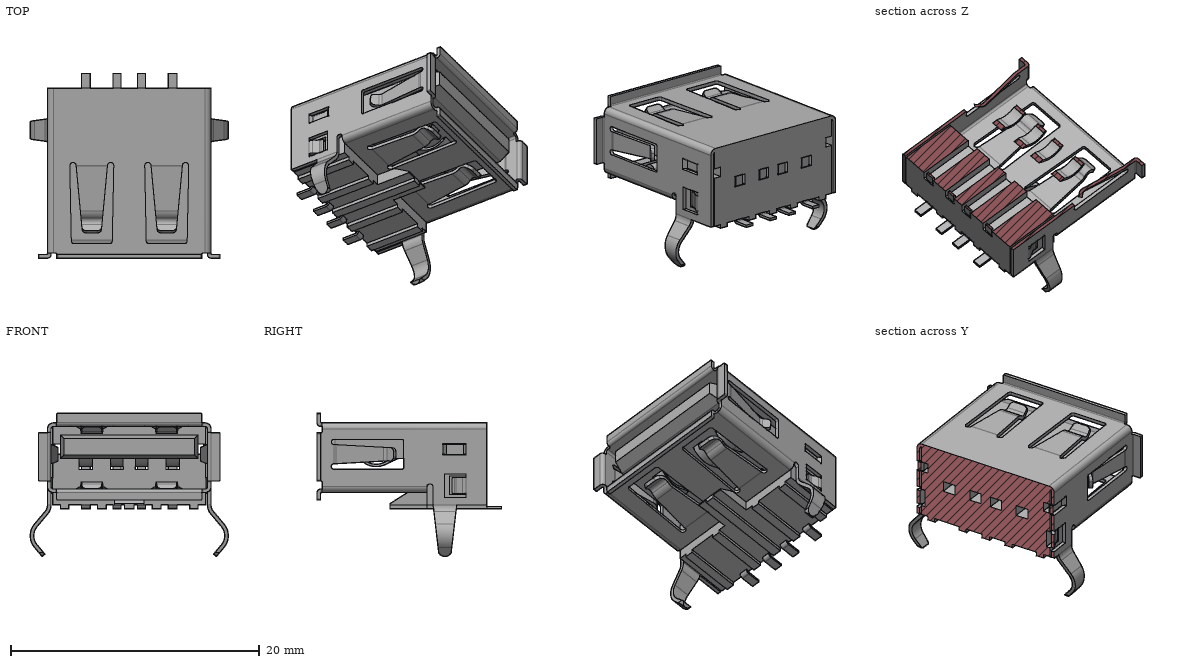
import cadquery as cq
import math


sheet = 0.3
shell_half_width = 6.6
shell_height = 5.64
shell_front = 0.42
shell_rear = 13.71
bend_radius = 0.5
inner_bend_radius = bend_radius - sheet
wall_inner = shell_half_width - sheet
ceiling = shell_height - sheet
mid_height = shell_height / 2

relief_front = 8.88
relief_width = 0.48
relief_top = 0.7
relief_middle = relief_front + relief_width / 2
rear_wall_bottom = -0.99

flange_bend_inside = 0.08
flange_bend_outside = sheet
flange_corner = 0.1
flange_root_fillet = 0.08
top_flange_half_width = 5.85
top_flange_top = 6.4
bottom_flange_bottom = -0.59
side_flange_half_height = 1.95
side_flange_middle = 2.9
side_flange_reach = 7.33

roof_spring_x = 3.02
roof_spring_hinge = 7.46
roof_window_end = 1.18
roof_window_half_width = 1.77
roof_window_end_half_width = 1.65
roof_relief_radius = 0.25
roof_window_corner = 0.2
roof_taper_end = 2.0
roof_taper_end_half_width = 0.75
roof_spring_corner = 0.35
roof_spring_slope = 3
roof_spring_dip = 42
roof_spring_rise = 38

side_spring_z = 3.1
side_spring_hinge = 1.37
side_window_end = 7.0
side_window_half_height = 1.2
side_relief_radius = 0.2
side_taper_end = 6.55
side_taper_end_half_height = 0.5
side_spring_corner = 0.32
side_spring_lean = 8
side_spring_return = 40
side_window_corner = 0.15

rear_window_back = 12.02
bridge_front = 10.16
bridge_bottom = 3.04
bridge_top = 3.95
bridge_gap = 0.05
bridge_depth = 0.3
bridge_back_slope = 0.19
bridge_front_slope = 0.27
latch_window_front = 10.28
latch_window_bottom = -0.37
latch_window_top = 1.52
latch_bottom = -0.06
latch_top = 1.23
latch_angle = 30
latch_slope_length = 0.59
latch_flat_length = 0.48
latch_bend_radius = 0.24
latch_corner = 0.13
pocket_front = 10.7
pocket_bottom = -0.13
pocket_top = 1.36
pocket_floor = 5.85

tail_y = 10.32
tail_reach = 7.99
tail_tip = -5.15
tail_angle = 40
tail_flare_radius = 0.8
tail_bulge_radius = 1.45
tail_root_half_width = 0.96
tail_end_half_width = 0.51
tail_round_start = -4.83

housing_half_width = 6.18
housing_bottom = -0.99
housing_front = relief_front
foot_bottom = -1.31
feet = [(-5.21, 0.7), (-2.2, 0.74), (0, 0.77), (2.2, 0.74), (5.21, 0.7)]
center_foot_front = 5.88
wedge_half_width = 1.2
wedge_top_front = 7.27
wedge_nose_top = -0.88
notch_bottom = 3.12
notch_top = 3.92

tongue_half_width = 5.56
tongue_bottom = 2.75
tongue_top = 4.67
tongue_front = shell_front
tongue_nose_inset = 0.3
tongue_nose_length = 1.04

contacts = [(-3.5, 1.07, 0.72), (-0.99, 1.0, 0.67), (0.99, 1.0, 0.67), (3.5, 1.07, 0.72)]
contact_thickness = 0.2
contact_slot_bottom = 1.89
contact_arc_radius = 1.68
contact_arc_y = 4.78
contact_arc_bottom = 2.1
contact_entry_angle = 25
contact_exit_angle = 55
pin_end = 14.9
pin_bend_radius = 0.1
pin_leg_rear = shell_rear - pin_bend_radius


def box(x_range, y_range, z_range):
    """Axis-aligned box between the given limits."""
    size = [high - low for low, high in (x_range, y_range, z_range)]
    corner = (x_range[0], y_range[0], z_range[0])
    return cq.Workplane("XY").box(*size, centered=False).translate(corner)


def both_sides(body):
    """The body together with its mirror image across x = 0."""
    return body.union(body.mirror("YZ"))


def bent_strip(plane, start, heading, moves, thickness, width):
    """Strip of bent sheet, centred on the plane.

    The start point is on the left face, looking along the heading (degrees).
    A move is ("line", length) or ("turn", angle, inside radius), left turns positive.
    """
    direction = math.radians(heading)
    left = start
    outline = cq.Workplane(plane).moveTo(*left)

    def aside(point, angle, distance):
        return (point[0] - distance * math.sin(angle), point[1] + distance * math.cos(angle))

    right = aside(left, direction, -thickness)
    right_steps = []
    for kind, amount, *radius in moves:
        right_before = right
        if kind == "line":
            shift = (amount * math.cos(direction), amount * math.sin(direction))
            left = (left[0] + shift[0], left[1] + shift[1])
            right = (right[0] + shift[0], right[1] + shift[1])
            outline = outline.lineTo(*left)
            right_steps.append((None, right_before))
            continue
        side = math.copysign(1, amount)
        left_radius = radius[0] if amount > 0 else radius[0] + thickness
        right_radius = radius[0] + thickness if amount > 0 else radius[0]
        center = aside(left, direction, side * left_radius)
        halfway = direction + math.radians(amount) / 2
        direction += math.radians(amount)
        left = aside(center, direction, -side * left_radius)
        right = aside(center, direction, -side * right_radius)
        outline = outline.threePointArc(aside(center, halfway, -side * left_radius), left)
        right_steps.append((aside(center, halfway, -side * right_radius), right_before))

    outline = outline.lineTo(*right)
    for middle, end in reversed(right_steps):
        if middle is None:
            outline = outline.lineTo(*end)
        else:
            outline = outline.threePointArc(middle, end)
    return outline.close().extrude(width / 2, both=True)


def taper(plane, root, end, root_half, end_half, depth):
    """Tapered plate along local x, centred on it."""
    return (
        cq.Workplane(plane)
        .polyline([(root, -root_half), (end, -end_half), (end, end_half), (root, root_half)])
        .close()
        .extrude(depth, both=True)
    )


def round_tip(spring, direction, radius):
    """Round the corners of the end face that lies farthest along the direction."""
    tip = spring.faces(cq.selectors.DirectionMinMaxSelector(cq.Vector(*direction)))
    across_sheet = [edge for edge in tip.edges().vals() if edge.Length() < 2 * sheet]
    return tip.newObject(across_sheet).fillet(radius)


def shell_body():
    """Closed tunnel in front, open-bottomed channel behind, with a slot between them."""
    front_length = relief_middle - shell_front
    rear_length = shell_rear - relief_middle

    def rounded_block(width, bottom, top, length, radius, edges):
        height = top - bottom
        block = cq.Workplane("XY").box(width, length, height, centered=(True, False, False))
        return block.edges(edges).fillet(radius).translate((0, 0, bottom))

    def tube(bottom, floor, length, edges):
        outer = rounded_block(2 * shell_half_width, bottom, shell_height, length, bend_radius, edges)
        inner = rounded_block(2 * wall_inner, floor, ceiling, length, inner_bend_radius, edges)
        return outer.cut(inner)

    tunnel = tube(0, sheet, front_length, "|Y").translate((0, shell_front, 0))
    channel = tube(rear_wall_bottom, rear_wall_bottom, rear_length, "|Y and >Z")
    body = tunnel.union(channel.translate((0, relief_middle, 0)))

    radius = relief_width / 2
    slot = box(
        (-shell_half_width, shell_half_width),
        (relief_front, relief_front + relief_width),
        (rear_wall_bottom, relief_top),
    )
    return body.cut(slot.edges("|X and >Z").fillet(0.99 * radius))


def lip(reach, width):
    """Lip that continues a sheet whose outer face is z = 0 and turns up by the reach."""
    profile = [
        (shell_front, -sheet),
        (0, -sheet),
        (0, reach),
        (sheet, reach),
        (sheet, 0),
        (shell_front, 0),
    ]
    body = cq.Workplane("YZ").polyline(profile).close().extrude(width / 2, both=True)
    body = body.edges("|X and <Y and <Z").fillet(flange_bend_outside)
    body = body.edges(cq.selectors.NearestToPointSelector((0, sheet, 0))).fillet(flange_bend_inside)
    return body.faces(">Z").edges("|Y").fillet(flange_corner)


def flanges():
    """Four lips bent outward around the mouth."""
    top = lip(top_flange_top - shell_height, 2 * top_flange_half_width)
    bottom = lip(-bottom_flange_bottom, 2 * top_flange_half_width)
    side = lip(side_flange_reach - shell_half_width, 2 * side_flange_half_height)
    side = side.rotate((0, 0, 0), (0, 1, 0), -90)
    side = side.translate((-shell_half_width, 0, side_flange_middle))
    top = top.translate((0, 0, shell_height))
    return top.union(bottom.mirror("XY")).union(both_sides(side))


def fillet_flange_roots(body):
    """Round the inner corners where the sides of each lip meet the shell edge."""
    margin = 0.02
    roots = []
    for side in (-1, 1):
        side_z = side_flange_middle + side * side_flange_half_height
        for half in (-1, 1):
            roots.append((half * (shell_half_width - sheet / 2), side_z))
            roots.append((side * top_flange_half_width, mid_height + half * (mid_height - sheet / 2)))
    for x, z in roots:
        low = (x - margin, shell_front - margin, z - margin)
        high = (x + margin, shell_front + margin, z + margin)
        body = body.edges(cq.selectors.BoxSelector(low, high)).fillet(flange_root_fillet)
    return body


def spring_window(plane, hinge, end, half_width, end_half_width, relief_radius, corner, depth):
    """Window around a spring, with a round relief on each side of the hinge."""
    window = taper(plane, hinge, end, half_width, end_half_width, depth)
    end_face, through = ("<X", "|Z") if plane == "XY" else (">Y", "|X")
    window = window.faces(end_face).edges(through).fillet(corner)
    offset = half_width - relief_radius
    reliefs = (
        cq.Workplane(plane)
        .pushPoints([(hinge, -offset), (hinge, offset)])
        .circle(relief_radius)
        .extrude(depth, both=True)
    )
    return window.union(reliefs)


def at_roof_springs(body):
    """Copies at the two spring positions, in the roof and mirrored into the floor."""
    pair = both_sides(body.translate((roof_spring_x, 0, 0)))
    return pair.union(pair.mirror("XY", (0, 0, mid_height)))


def lay_flat(body):
    """Turn local x along Y and local y along X."""
    return body.rotate((0, 0, 0), (0, 0, 1), 90)


def roof_windows():
    window = spring_window(
        "XY", roof_spring_hinge, roof_window_end, roof_window_half_width,
        roof_window_end_half_width, roof_relief_radius, roof_window_corner, sheet,
    )
    return at_roof_springs(lay_flat(window).translate((0, 0, shell_height - sheet / 2)))


def roof_springs():
    """Springs that dip toward the opening and curl back up at the tip."""
    hinge_half_width = roof_window_half_width - 2 * roof_relief_radius
    moves = [
        ("turn", roof_spring_slope, 0.02),
        ("line", 3.63),
        ("turn", roof_spring_dip, 0.58),
        ("turn", -(roof_spring_slope + roof_spring_dip + roof_spring_rise), 0.4),
        ("line", 0.62),
    ]
    strip = bent_strip("YZ", (roof_spring_hinge, ceiling), 180, moves, sheet, 2 * hinge_half_width)
    outline = taper(
        "XY", roof_spring_hinge, roof_taper_end, hinge_half_width,
        roof_taper_end_half_width, 2 * shell_height,
    )
    rise = math.radians(roof_spring_rise)
    spring = strip.intersect(lay_flat(outline))
    spring = round_tip(spring, (0, -math.cos(rise), math.sin(rise)), roof_spring_corner)
    return at_roof_springs(spring)


def side_windows():
    window = spring_window(
        "YZ", side_spring_hinge, side_window_end, side_window_half_height,
        side_window_half_height, side_relief_radius, side_window_corner, sheet,
    )
    return both_sides(window.translate((-shell_half_width + sheet / 2, 0, side_spring_z)))


def side_springs():
    """Springs that lean into the opening and turn outward at the tip."""
    hinge_half_height = side_window_half_height - 2 * side_relief_radius
    moves = [
        ("turn", -side_spring_lean, 0.8),
        ("line", 3.9),
        ("turn", side_spring_lean + side_spring_return, 0.35),
        ("line", 0.67),
    ]
    strip = bent_strip(
        "XY", (-shell_half_width, side_spring_hinge), 90, moves, sheet, 2 * hinge_half_height
    )
    outline = taper(
        "YZ", side_spring_hinge, side_taper_end, hinge_half_height,
        side_taper_end_half_height, shell_half_width,
    )
    turned_out = math.radians(side_spring_return)
    spring = strip.intersect(outline)
    spring = round_tip(spring, (-math.sin(turned_out), math.cos(turned_out), 0), side_spring_corner)
    return both_sides(spring.translate((0, 0, side_spring_z)))


def rear_windows():
    walls = (-shell_half_width, -wall_inner)
    upper = box(walls, (bridge_front, rear_window_back), (bridge_bottom, bridge_top))
    lower = box(walls, (latch_window_front, rear_window_back), (latch_window_bottom, latch_window_top))
    return both_sides(upper.union(lower))


def bridges():
    """Strips pressed inward, still joined to the wall at both ends."""
    outer = [
        (-shell_half_width, bridge_front),
        (-shell_half_width + bridge_depth, bridge_front + bridge_front_slope),
        (-shell_half_width + bridge_depth, rear_window_back - bridge_back_slope),
        (-shell_half_width, rear_window_back),
    ]
    inner = [(x + sheet, y) for x, y in reversed(outer)]
    inner[0] = (-wall_inner, rear_window_back + bridge_gap)
    inner[-1] = (-wall_inner, bridge_front - bridge_gap)
    height = bridge_top - bridge_bottom - 2 * bridge_gap
    bridge = cq.Workplane("XY").polyline(outer + inner).close().extrude(height)
    return both_sides(bridge.translate((0, 0, bridge_bottom + bridge_gap)))


def latch_tabs():
    """Tabs hinged at the rear and bent into the pockets of the housing."""
    moves = [
        ("turn", latch_angle, latch_bend_radius),
        ("line", latch_slope_length),
        ("turn", -latch_angle, latch_bend_radius),
        ("line", latch_flat_length - latch_bend_radius),
    ]
    tab = bent_strip(
        "XY", (-wall_inner, rear_window_back), 270, moves, sheet, latch_top - latch_bottom
    )
    tab = tab.faces("<Y").edges("|X").fillet(latch_corner)
    return both_sides(tab.translate((0, 0, (latch_top + latch_bottom) / 2)))


def tails():
    """Board-lock legs that flare out, bulge and come back in to a round tip."""
    angle = math.radians(tail_angle)
    bend_reach = (tail_flare_radius + tail_bulge_radius) * (1 - math.cos(angle))
    flare_length = (tail_reach - shell_half_width - bend_reach) / math.sin(angle)
    bend_drop = (tail_flare_radius + 2 * tail_bulge_radius) * math.sin(angle)
    tip_length = (rear_wall_bottom - tail_tip - bend_drop) / math.cos(angle) - flare_length
    moves = [
        ("turn", -tail_angle, tail_flare_radius),
        ("line", flare_length),
        ("turn", 2 * tail_angle, tail_bulge_radius - sheet),
        ("line", tip_length),
    ]
    strip = bent_strip(
        "XZ", (-wall_inner, rear_wall_bottom), 270, moves, sheet, 2 * tail_root_half_width
    )
    outline = (
        cq.Workplane("YZ")
        .moveTo(-tail_root_half_width, rear_wall_bottom)
        .lineTo(-tail_end_half_width, tail_round_start)
        .threePointArc((0, tail_tip), (tail_end_half_width, tail_round_start))
        .lineTo(tail_root_half_width, rear_wall_bottom)
        .close()
        .extrude(-tail_reach)
    )
    return both_sides(strip.intersect(outline).translate((0, tail_y, 0)))


def housing():
    """Plastic block behind the opening, with its standoff feet and locating wedge."""
    depth = (housing_front, shell_rear)
    body = box((-housing_half_width, housing_half_width), depth, (housing_bottom, ceiling))
    notch = box((-housing_half_width, -tongue_half_width), depth, (notch_bottom, notch_top))
    pocket = box(
        (-housing_half_width, -pocket_floor),
        (pocket_front, rear_window_back),
        (pocket_bottom, pocket_top),
    )
    body = body.cut(both_sides(notch.union(pocket)))
    for x, width in feet:
        front = center_foot_front if x == 0 else housing_front
        foot = box(
            (x - width / 2, x + width / 2), (front, shell_rear), (foot_bottom, housing_bottom)
        )
        body = body.union(foot)
    wedge = (
        cq.Workplane("YZ")
        .polyline([
            (housing_front, 0),
            (wedge_top_front, 0),
            (center_foot_front, wedge_nose_top),
            (center_foot_front, housing_bottom),
            (housing_front, housing_bottom),
        ])
        .close()
        .extrude(wedge_half_width, both=True)
    )
    return body.union(wedge)


def tongue():
    """Flat tongue with a nose that tapers on all four sides."""
    nose_root = tongue_front + tongue_nose_length
    body = box(
        (-tongue_half_width, tongue_half_width),
        (nose_root, housing_front),
        (tongue_bottom, tongue_top),
    )
    taper_angle = math.degrees(math.atan2(tongue_nose_inset, tongue_nose_length))
    nose = (
        cq.Workplane("XZ", origin=(0, nose_root, (tongue_bottom + tongue_top) / 2))
        .rect(2 * tongue_half_width, tongue_top - tongue_bottom)
        .extrude(tongue_nose_length, taper=taper_angle)
    )
    return body.union(nose)


def contact_slots():
    """Passages through the housing, directly below the tongue."""
    slots = cq.Workplane("XY")
    for x, width, _ in contacts:
        slot = box(
            (x - width / 2, x + width / 2),
            (housing_front, shell_rear),
            (contact_slot_bottom, tongue_bottom),
        )
        slots = slots.add(slot)
    return slots.combine()


def contact(x, width, pin_width):
    """Bow below the tongue, and a pin that goes down the rear and bends backward."""
    entry = math.radians(contact_entry_angle)
    arc_start_y = contact_arc_y + contact_arc_radius * math.sin(entry)
    arc_start_z = contact_arc_bottom + contact_arc_radius * (1 - math.cos(entry))
    descent = (tongue_bottom + contact_thickness - arc_start_z) / math.sin(entry)
    start = (
        arc_start_y + descent * math.cos(entry),
        arc_start_z + descent * math.sin(entry),
    )
    moves = [
        ("line", descent),
        (
            "turn",
            -(contact_entry_angle + contact_exit_angle),
            contact_arc_radius - contact_thickness,
        ),
    ]
    bow = bent_strip("YZ", start, 180 + contact_entry_angle, moves, contact_thickness, width)
    below_tongue = box(
        (-width / 2, width / 2), (tongue_front, housing_front), (contact_arc_bottom, tongue_bottom)
    )
    bow = bow.intersect(below_tongue)
    bend = pin_bend_radius + contact_thickness
    pin = bent_strip(
        "YZ", (pin_leg_rear, tongue_bottom), 270,
        [
            ("line", tongue_bottom - foot_bottom - bend),
            ("turn", 90, pin_bend_radius),
            ("line", pin_end - shell_rear),
        ],
        contact_thickness, pin_width,
    )
    return bow.union(pin).translate((x, 0, 0))


shell = (
    fillet_flange_roots(shell_body().union(flanges()))
    .cut(roof_windows())
    .cut(side_windows())
    .cut(rear_windows())
    .union(roof_springs())
    .union(side_springs())
    .union(bridges())
    .union(latch_tabs())
    .union(tails())
)
insert = housing().union(tongue()).cut(contact_slots())
for placement in contacts:
    insert = insert.union(contact(*placement))
result = shell.union(insert)